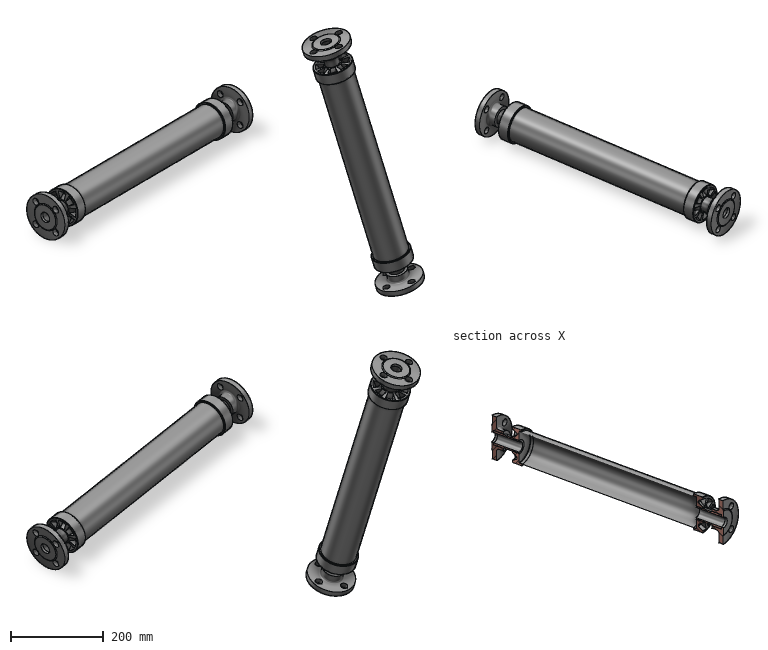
import cadquery as cq
import math

TOTAL_LENGTH = 635.0

FLANGE_DIAMETER = 108.0
FLANGE_BACK = 303.5
RAISED_FACE_HEIGHT = 1.6
RAISED_FACE_DIAMETER = 64.0
RAISED_FACE_SLOPE = 2.5
HUB_DIAMETER = 49.0
HUB_END = 284.5
HUB_FILLET = 6.0
BOLT_COUNT = 4
BOLT_CIRCLE_DIAMETER = 79.5
BOLT_HOLE_DIAMETER = 16.0

PIPE_DIAMETER = 33.5
BORE_DIAMETER = 24.0
PIPE_INSET = 6.5

CAP_DIAMETER = 89.0
CAP_OUTER = 261.0
CAP_INNER = 234.0
CAP_CHAMFER = 1.0
POCKET_COUNT = 8
POCKET_DEPTH = 13.0
POCKET_OUTER_RADIUS = 39.0
POCKET_INNER_RADIUS = 20.0
POCKET_WALL_SLOPE = 0.6
POCKET_HUB_SLOPE = 0.6
POCKET_ANGLE = 32.0
CAP_FLOOR = 6.5

TUBE_DIAMETER = 80.0
TUBE_BORE_DIAMETER = 76.0

FLANGE_END = TOTAL_LENGTH / 2
FLANGE_RIM = FLANGE_END - RAISED_FACE_HEIGHT
PIPE_OUTER_END = FLANGE_END - PIPE_INSET
TUBE_END = CAP_OUTER - POCKET_DEPTH - CAP_FLOOR


def revolve_about_y(profile, angle=360):
    """Close a profile of (radius, y) drawn in the XY plane and turn it around the Y axis."""
    return profile.close().revolve(angle, (0, 0, 0), (0, 1, 0))


def cylinder_along_y(diameter, start, end):
    return cq.Workplane("XZ", origin=(0, start, 0)).circle(diameter / 2).extrude(start - end)


def spin(body, angle):
    return body.rotate((0, 0, 0), (0, 1, 0), angle)


def make_tube():
    """Open tube whose ends sit in the sockets of the two caps."""
    outside = cylinder_along_y(TUBE_DIAMETER, -TUBE_END, TUBE_END)
    return outside.cut(cylinder_along_y(TUBE_BORE_DIAMETER, -TUBE_END, TUBE_END))


def make_flange():
    """Flange with a raised face at +Y and a filleted hub."""
    rim = FLANGE_DIAMETER / 2
    face = RAISED_FACE_DIAMETER / 2
    hub = HUB_DIAMETER / 2
    bend = HUB_FILLET * (1 - math.sqrt(0.5))
    profile = (
        cq.Workplane("XY")
        .moveTo(0, HUB_END)
        .lineTo(hub, HUB_END)
        .lineTo(hub, FLANGE_BACK - HUB_FILLET)
        .threePointArc((hub + bend, FLANGE_BACK - bend), (hub + HUB_FILLET, FLANGE_BACK))
        .lineTo(rim, FLANGE_BACK)
        .lineTo(rim, FLANGE_RIM)
        .lineTo(face, FLANGE_RIM)
        .lineTo(face - RAISED_FACE_SLOPE, FLANGE_END)
        .lineTo(0, FLANGE_END)
    )
    flange = revolve_about_y(profile)
    flange = flange.cut(cylinder_along_y(BORE_DIAMETER, HUB_END, FLANGE_END))
    flange = flange.cut(cylinder_along_y(PIPE_DIAMETER, HUB_END, PIPE_OUTER_END))
    pitch = 360 / BOLT_COUNT
    hole = cylinder_along_y(BOLT_HOLE_DIAMETER, HUB_END, FLANGE_END)
    hole = hole.translate((BOLT_CIRCLE_DIAMETER / 2, 0, 0))
    for i in range(BOLT_COUNT):
        flange = flange.cut(spin(hole, (i + 0.5) * pitch))
    return flange


def make_pipe():
    """Short pipe at +Y that runs from the tube, through the cap, into the flange."""
    pipe = cylinder_along_y(PIPE_DIAMETER, TUBE_END, PIPE_OUTER_END)
    return pipe.cut(cylinder_along_y(BORE_DIAMETER, TUBE_END, PIPE_OUTER_END))


def make_pocket():
    """One sector-shaped pocket centred on +X, whose conical walls close in towards its floor."""
    floor = CAP_OUTER - POCKET_DEPTH
    wall_run = POCKET_WALL_SLOPE * POCKET_DEPTH
    hub_run = POCKET_HUB_SLOPE * POCKET_DEPTH
    profile = (
        cq.Workplane("XY")
        .moveTo(POCKET_INNER_RADIUS, CAP_OUTER)
        .lineTo(POCKET_OUTER_RADIUS, CAP_OUTER)
        .lineTo(POCKET_OUTER_RADIUS - wall_run, floor)
        .lineTo(POCKET_INNER_RADIUS + hub_run, floor)
    )
    return spin(revolve_about_y(profile, POCKET_ANGLE), -POCKET_ANGLE / 2)


def make_cap():
    """Cap at +Y with a socket for the tube, a hole for the pipe and a ring of pockets."""
    cap = cylinder_along_y(CAP_DIAMETER, CAP_INNER, CAP_OUTER).edges().chamfer(CAP_CHAMFER)
    cap = cap.cut(cylinder_along_y(TUBE_DIAMETER, CAP_INNER, TUBE_END))
    cap = cap.cut(cylinder_along_y(PIPE_DIAMETER, TUBE_END, CAP_OUTER))
    pocket = make_pocket()
    for i in range(POCKET_COUNT):
        cap = cap.cut(spin(pocket, i * 360 / POCKET_COUNT))
    return cap


def both_ends(body):
    """The body at +Y and its mirror image at -Y, as two separate solids."""
    return [body.solids().val(), body.mirror("XZ").solids().val()]


tube = make_tube().solids().val()
flanges = both_ends(make_flange())
pipes = both_ends(make_pipe())
caps = both_ends(make_cap())

result = cq.Compound.makeCompound([tube, *flanges, *pipes, *caps])